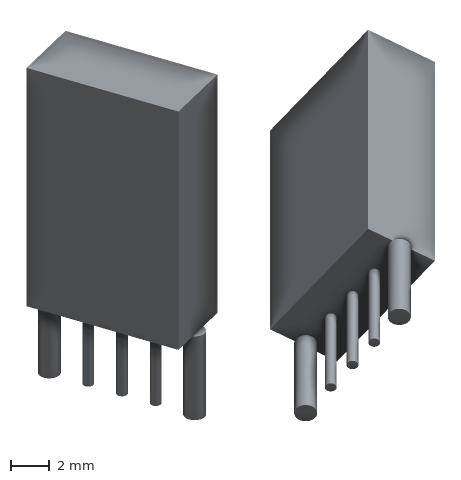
import cadquery as cq

total_width = 9.8
total_height = 19.6

housing_width = 9.0
housing_depth = 4.2
housing_height = 14.5

pin_length = total_height - housing_height
signal_pin_diameter = 0.6
signal_pin_pitch = 2.0
signal_pin_count = 3
support_pin_diameter = 1.2
support_pin_offset = (total_width - support_pin_diameter) / 2


def make_housing():
    """Plain block standing on top of the pins."""
    return (
        cq.Workplane("XY")
        .workplane(offset=pin_length)
        .rect(housing_width, housing_depth)
        .extrude(housing_height)
    )


def make_pin(x, diameter):
    """Round pin from Z = 0 up to the underside of the housing."""
    return cq.Workplane("XY").center(x, 0).circle(diameter / 2).extrude(pin_length)


housing = make_housing()

signal_pins = []
for index in range(signal_pin_count):
    x = (index - (signal_pin_count - 1) / 2) * signal_pin_pitch
    signal_pins.append(make_pin(x, signal_pin_diameter).val())

support_pins = []
for side in (-1, 1):
    support_pins.append(make_pin(side * support_pin_offset, support_pin_diameter).val())

result = cq.Compound.makeCompound([housing.val(), *signal_pins, *support_pins])